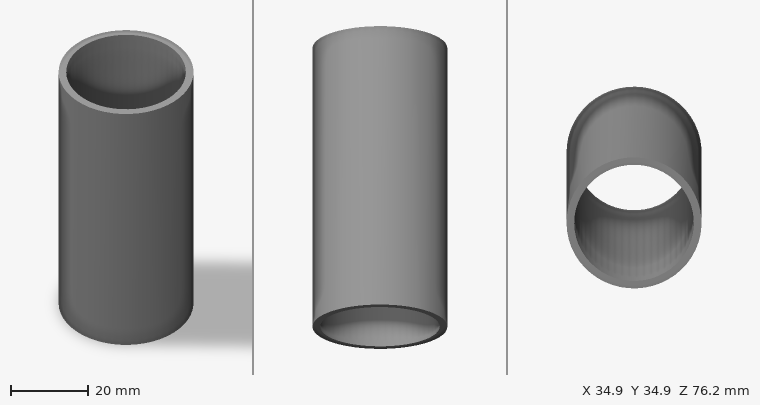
import cadquery as cq

length = 76.2
outer_diameter = 34.9
wall_thickness = 2.0
inner_diameter = outer_diameter - 2 * wall_thickness

result = (
    cq.Workplane("XY")
    .circle(outer_diameter / 2)
    .circle(inner_diameter / 2)
    .extrude(length)
)